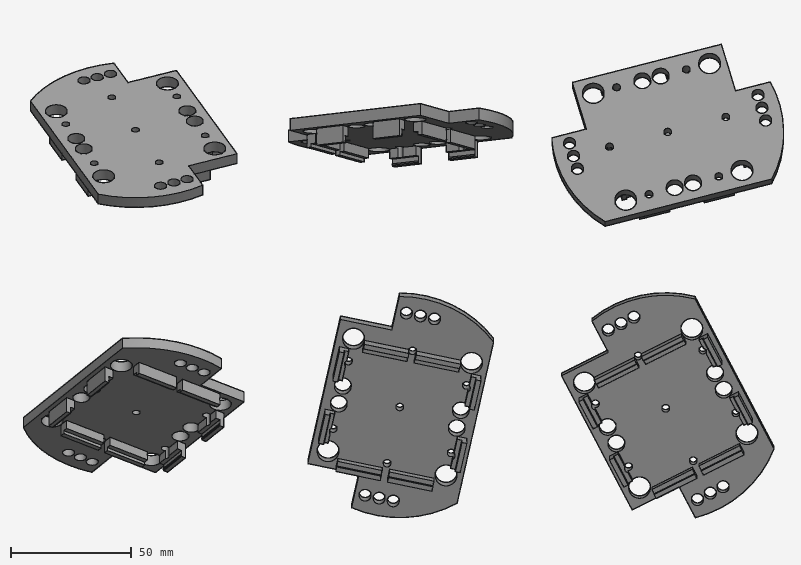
import cadquery as cq
import math

disc_radius = 48.0
plate_depth = 64.0
plate_half_depth = plate_depth / 2
neck_half_width = plate_half_depth
shoulder_y = 10.3
plate_thickness = 5.0

corner_hole_diameter = 9.0
pair_hole_diameter = 7.0
side_hole_diameter = 5.0
screw_hole_diameter = 3.2
corner_offset = 25.0
outer_screw_x = 15.0
pair_offset_x = 3.9
side_hole_x = 40.4
side_hole_pitch = 6.0

clip_thickness = 4.0
leg_thickness = clip_thickness / 2
clip_step_depth = 4.0

edge_clip_depth = 7.0
edge_clip_width = 13.0
edge_clip_gap = 14.8
edge_clip_x = (edge_clip_gap + edge_clip_width) / 2
edge_clip_outer_y = 30.0

side_clip_depth = 5.5
side_clip_width = 18.8
side_clip_gap = 3.1
side_clip_y = (side_clip_gap + side_clip_width) / 2
side_clip_outer_x = 28.2
side_clip_center_x = 3.0

bead_diameter = 0.6
bead_depth = 6.2


def make_plate():
    """Plate outline with its top face at Z = plate_thickness."""
    shoulder_x = math.sqrt(disc_radius**2 - shoulder_y**2)
    front_x = math.sqrt(disc_radius**2 - plate_half_depth**2)
    return (
        cq.Workplane("XY")
        .moveTo(-neck_half_width, plate_half_depth)
        .lineTo(neck_half_width, plate_half_depth)
        .lineTo(neck_half_width, shoulder_y)
        .lineTo(shoulder_x, shoulder_y)
        .threePointArc((disc_radius, 0), (front_x, -plate_half_depth))
        .lineTo(-front_x, -plate_half_depth)
        .threePointArc((-disc_radius, 0), (-shoulder_x, shoulder_y))
        .lineTo(-neck_half_width, shoulder_y)
        .close()
        .extrude(plate_thickness)
    )


def make_holes(diameter, points):
    """Cutters through the plate and the clips at the given points."""
    return (
        cq.Workplane("XY", origin=(0, 0, -edge_clip_depth))
        .pushPoints(points)
        .circle(diameter / 2)
        .extrude(edge_clip_depth + plate_thickness)
    )


def mirrored(x, y):
    """The point repeated in all four quadrants."""
    return [(sx * x, sy * y) for sx in (-1, 1) for sy in (-1, 1)]


def make_clip(depth, width):
    """Clip running along X, centred on X = 0, with its outer face at Y = 0 facing +Y."""
    return (
        cq.Workplane("YZ", origin=(-width / 2, 0, 0))
        .polyline([
            (0, 0),
            (0, -depth),
            (-leg_thickness, -depth),
            (-leg_thickness, -clip_step_depth),
            (-clip_thickness, -clip_step_depth),
            (-clip_thickness, 0),
        ])
        .close()
        .extrude(width)
    )


def make_bead():
    """Round bead along the inner face of a front or rear clip leg."""
    return (
        cq.Workplane("YZ", origin=(-edge_clip_width / 2, 0, 0))
        .center(-leg_thickness, -bead_depth)
        .circle(bead_diameter / 2)
        .extrude(edge_clip_width)
    )


result = make_plate()

edge_clip = make_clip(edge_clip_depth, edge_clip_width).union(make_bead())
side_clip = make_clip(side_clip_depth, side_clip_width)

for sign in (-1, 1):
    edge_turn = 0 if sign > 0 else 180
    side_turn = -90 * sign
    for along in (-1, 1):
        edge_place = (along * edge_clip_x, sign * edge_clip_outer_y, 0)
        result = result.union(edge_clip.rotate((0, 0, 0), (0, 0, 1), edge_turn).translate(edge_place))
        side_place = (side_clip_center_x + sign * side_clip_outer_x, along * side_clip_y, 0)
        result = result.union(side_clip.rotate((0, 0, 0), (0, 0, 1), side_turn).translate(side_place))

screw_points = mirrored(outer_screw_x, corner_offset)
screw_points += [(x, 0) for x in (-corner_offset, 0, corner_offset)]
side_points = [
    (side * side_hole_x, row * side_hole_pitch)
    for side in (-1, 1)
    for row in (-1, 0, 1)
]
result = result.cut(make_holes(corner_hole_diameter, mirrored(corner_offset, corner_offset)))
result = result.cut(make_holes(pair_hole_diameter, mirrored(pair_offset_x, corner_offset)))
result = result.cut(make_holes(side_hole_diameter, side_points))
result = result.cut(make_holes(screw_hole_diameter, screw_points))